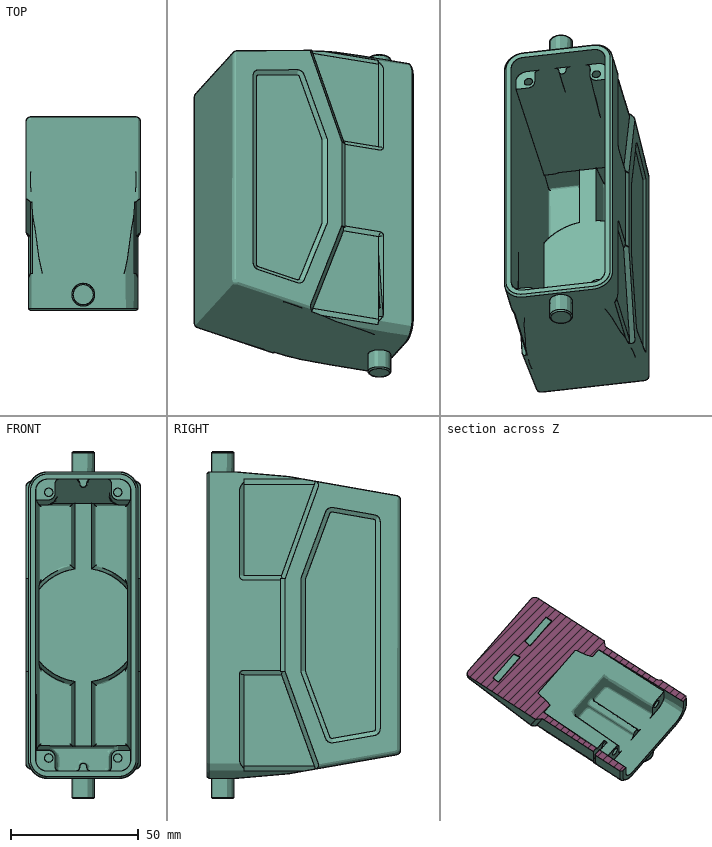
import cadquery as cq
import math


DEPTH = 76.0
BODY_HALF_WIDTH = 21.55
PANEL_HALF_WIDTH = 22.51
BODY_HALF_HEIGHT = 60.1
BODY_CORNER_RADIUS = 7.6
BODY_LENGTH = 54.4
BACK_EDGE_FILLET = 2.0
RIM_CHAMFER = 0.8

FIRST_KNEE = 11.3
SECOND_KNEE = 32.1
FIRST_SLOPE = math.tan(math.radians(5))
SECOND_SLOPE = math.tan(math.radians(10))

FLOOR_HALF_WIDTH = 20.7
BEVEL_WIDTH = 1.8
PANEL_FRONT = 30.7
PANEL_TIP_HALF_HEIGHT = 18.2
PANEL_EDGE_SLOPE = 0.36
POCKET_FRONT = 12.8
POCKET_INNER_HEIGHT = 17.7
LIP_START = 55.2
LIP_RISE = 2.0
LIP_DROP = 0.8
SLIT_START = 27.2
SLIT_END = 54.1
SLIT_WIDTH = 1.6
RECESS_DEPTH = 1.0
RECESS_BACK = 68.0
RECESS_FRONT = 36.9
RECESS_KNEE = 47.3
RECESS_CORNER_RADIUS = 2.7
RECESS_BORDER = 9.1

WALL = 2.9
FLOOR_DEPTH = 63.5
PAD_FLOOR_DEPTH = 72.8
SIDE_DRAFT = math.tan(math.radians(1.2))
PAD_DRAFT = 9.0
DISC_RADIUS = 22.3
BAR_HALF_WIDTH = 3.3
PAD_END = 48.4
PAD_FILLET = 0.7
LEDGE_FACE = 32.0
LEDGE_HEIGHT = 48.5
LEDGE_FILLET = 1.6

POST_FACE = 9.2
POST_X = 11.0
POST_Z = 49.1
POST_EDGE_RADIUS = 2.7
POST_DRAFT = 2.0
POST_SLOPE = math.tan(math.radians(POST_DRAFT))
SCREW_X = 13.53
SCREW_Z = 52.1
SCREW_RADIUS = 1.6
SCREW_DEPTH = 16.3
RIB_RADIUS = 1.4
RIB_Z = 55.5
RIB_DRAFT = 0.5

PIN_RADIUS = 4.5
PIN_Y = 6.3
PIN_TIP = 68.0
PIN_CHAMFER = 0.5

MARGIN = 6.8


def plane_at(y):
    """A sketch plane across the hood whose extrusions run towards the back."""
    return cq.Workplane(cq.Plane(origin=(0, y, 0), xDir=(1, 0, 0), normal=(0, 1, 0)))


def in_both_sides(solid):
    return solid.union(solid.mirror("YZ"))


def in_both_ends(solid):
    return solid.union(solid.mirror("XY"))


def end_height(y, inset=0.0):
    """Half height of the hood at depth y, less an inset."""
    drop = FIRST_SLOPE * min(max(y - FIRST_KNEE, 0), SECOND_KNEE - FIRST_KNEE)
    drop += SECOND_SLOPE * max(y - SECOND_KNEE, 0)
    return BODY_HALF_HEIGHT - inset - drop


def end_profile(half_width):
    """Solid bounded by the sloped ends."""
    upper = [(y, end_height(y)) for y in (0, FIRST_KNEE, SECOND_KNEE, DEPTH)]
    lower = [(y, -z) for y, z in reversed(upper)]
    return cq.Workplane("YZ").polyline(upper + lower).close().extrude(half_width, both=True)


def rounded_prism(half_width, half_height, radius, length):
    prism = plane_at(0).rect(2 * half_width, 2 * half_height).extrude(length)
    return prism.edges("|Y").fillet(radius)


def bevelled(outline, start, height, taper):
    """Outline in Y and Z, raised along +X from the given start."""
    sketch = cq.Workplane("YZ").workplane(offset=start).polyline(outline).close()
    return sketch.extrude(height, taper=taper)


def body():
    tube = rounded_prism(BODY_HALF_WIDTH, BODY_HALF_HEIGHT, BODY_CORNER_RADIUS, BODY_LENGTH)
    tube = tube.faces("<Y").chamfer(RIM_CHAMFER)
    return tube.intersect(end_profile(BODY_HALF_WIDTH + MARGIN))


def corner_pocket():
    """Shallow pocket beside the panel, open over the rounded corner, with a steeper lip there."""
    depth = BODY_HALF_WIDTH - FLOOR_HALF_WIDTH
    front = POCKET_FRONT + BEVEL_WIDTH
    inner = POCKET_INNER_HEIGHT + BEVEL_WIDTH
    outer = BODY_HALF_HEIGHT + MARGIN
    outline = [(front, inner), (BODY_LENGTH, inner), (BODY_LENGTH, outer), (front, outer)]
    flare = math.degrees(math.atan(BEVEL_WIDTH / depth))
    pocket = bevelled(outline, FLOOR_HALF_WIDTH, depth, -flare)

    lip = (
        plane_at(front)
        .moveTo(FLOOR_HALF_WIDTH, LIP_START)
        .lineTo(FLOOR_HALF_WIDTH - LIP_DROP, LIP_START + LIP_RISE)
        .lineTo(BODY_HALF_WIDTH, LIP_START + LIP_RISE)
        .lineTo(BODY_HALF_WIDTH, LIP_START)
        .close()
        .extrude(BODY_LENGTH - front)
    )
    return pocket.union(lip.mirror("XY"))


def rear_block():
    """Wide rear part whose side panels come to a blunt tip towards the opening."""
    block = end_profile(PANEL_HALF_WIDTH)
    block = block.faces("<X or >X or >Y").edges("not <Y").fillet(BACK_EDGE_FILLET)

    reach = BODY_HALF_HEIGHT + MARGIN
    shoulder = PANEL_FRONT + PANEL_EDGE_SLOPE * (reach - PANEL_TIP_HALF_HEIGHT)
    back = DEPTH + MARGIN
    upper = [(PANEL_FRONT, PANEL_TIP_HALF_HEIGHT), (shoulder, reach), (back, reach)]
    outline = upper + [(y, -z) for y, z in reversed(upper)]

    height = PANEL_HALF_WIDTH - FLOOR_HALF_WIDTH
    flare = math.degrees(math.atan(BEVEL_WIDTH / height))
    base = cq.Workplane("YZ").polyline(outline).close().offset2D(BEVEL_WIDTH, "intersection")
    core = base.extrude(FLOOR_HALF_WIDTH, both=True)
    base = cq.Workplane("YZ").workplane(offset=FLOOR_HALF_WIDTH).polyline(outline).close()
    panel = base.offset2D(BEVEL_WIDTH, "intersection").extrude(height, taper=flare)

    tip_front = PANEL_FRONT - BEVEL_WIDTH
    tip = (
        cq.Workplane("XY")
        .moveTo(FLOOR_HALF_WIDTH, tip_front)
        .lineTo(BODY_HALF_WIDTH, tip_front)
        .lineTo(PANEL_HALF_WIDTH, PANEL_FRONT)
        .lineTo(FLOOR_HALF_WIDTH, PANEL_FRONT)
        .close()
        .extrude(PANEL_TIP_HALF_HEIGHT, both=True)
    )
    return block.intersect(core.union(in_both_sides(panel.union(tip))))


def side_recess():
    """Shallow sloped-wall recess that follows the outline of the side panel."""
    tip = PANEL_TIP_HALF_HEIGHT
    upper = [
        (RECESS_FRONT, tip),
        (RECESS_KNEE, end_height(RECESS_KNEE, RECESS_BORDER)),
        (RECESS_BACK, end_height(RECESS_BACK, RECESS_BORDER)),
    ]
    outline = upper + [(y, -z) for y, z in reversed(upper)]
    rounded = cq.Sketch().polygon(outline + outline[:1])
    rounded = rounded.vertices("not <X").fillet(RECESS_CORNER_RADIUS)
    sketch = cq.Workplane("YZ").workplane(offset=PANEL_HALF_WIDTH).placeSketch(rounded)
    slant = math.degrees(math.atan(BEVEL_WIDTH / RECESS_DEPTH))
    return sketch.extrude(-RECESS_DEPTH, taper=slant)


def side_walls(depth):
    """Space between the drafted side walls of the cavity."""
    mouth = BODY_HALF_WIDTH - WALL
    inner = mouth - SIDE_DRAFT * depth
    outline = [(-mouth, 0), (mouth, 0), (inner, depth), (-inner, depth)]
    return cq.Workplane("XY").polyline(outline).close().extrude(BODY_HALF_HEIGHT, both=True)


def screw_post():
    """Corner post with a screw hole."""
    outer_x = BODY_HALF_WIDTH + MARGIN
    outer_z = BODY_HALF_HEIGHT + MARGIN
    width = outer_x - POST_X
    height = outer_z - POST_Z
    sketch = plane_at(POST_FACE).center((outer_x + POST_X) / 2, (outer_z + POST_Z) / 2)
    sketch = sketch.sketch().rect(width, height).vertices().fillet(POST_EDGE_RADIUS).finalize()
    post = sketch.extrude(DEPTH - POST_FACE, taper=-POST_DRAFT)
    screw_hole = plane_at(POST_FACE).center(SCREW_X, SCREW_Z).circle(SCREW_RADIUS).extrude(SCREW_DEPTH)
    return post.cut(screw_hole)


def guide_rib():
    """Round-topped rib on the end wall that widens towards the back."""
    outer_z = BODY_HALF_HEIGHT + MARGIN
    return (
        plane_at(POST_FACE)
        .moveTo(-RIB_RADIUS, outer_z)
        .lineTo(-RIB_RADIUS, RIB_Z)
        .threePointArc((0, RIB_Z - RIB_RADIUS), (RIB_RADIUS, RIB_Z))
        .lineTo(RIB_RADIUS, outer_z)
        .close()
        .extrude(DEPTH - POST_FACE, taper=-RIB_DRAFT)
    )


def floor_pad():
    """Deeper quarter of the floor, beside the raised central disc and bar."""
    outer = BODY_HALF_WIDTH
    bar_z = math.sqrt(DISC_RADIUS**2 - BAR_HALF_WIDTH**2)
    outer_z = math.sqrt(DISC_RADIUS**2 - outer**2)
    mid_angle = (math.atan2(bar_z, BAR_HALF_WIDTH) + math.atan2(outer_z, outer)) / 2
    mid = (DISC_RADIUS * math.cos(mid_angle), DISC_RADIUS * math.sin(mid_angle))
    pad = (
        plane_at(FLOOR_DEPTH)
        .moveTo(BAR_HALF_WIDTH, PAD_END)
        .lineTo(BAR_HALF_WIDTH, bar_z)
        .threePointArc(mid, (outer, outer_z))
        .lineTo(outer, PAD_END)
        .close()
        .extrude(PAD_FLOOR_DEPTH - FLOOR_DEPTH, taper=PAD_DRAFT)
    )
    pad = pad.intersect(side_walls(PAD_FLOOR_DEPTH))
    return pad.faces(">Y").edges().fillet(PAD_FILLET)


def end_walls():
    """Space between a sloped upper wall and a straight lower wall that stops at a deep ledge."""
    mouth = BODY_HALF_HEIGHT - WALL
    floor_top = mouth - SECOND_SLOPE * (FLOOR_DEPTH - POST_FACE)
    floor_bottom = LEDGE_HEIGHT - POST_SLOPE * (FLOOR_DEPTH - LEDGE_FACE)
    outline = [
        (0, mouth),
        (POST_FACE, mouth),
        (FLOOR_DEPTH, floor_top),
        (FLOOR_DEPTH, -floor_bottom),
        (LEDGE_FACE, -LEDGE_HEIGHT),
        (LEDGE_FACE, -mouth),
        (0, -mouth),
    ]
    sides = cq.Sketch().polygon(outline + outline[:1])
    profile = cq.Workplane("YZ").placeSketch(sides).extrude(BODY_HALF_WIDTH, both=True)
    ledge_edge = cq.selectors.NearestToPointSelector((0, LEDGE_FACE, -LEDGE_HEIGHT))
    return profile.edges(ledge_edge).fillet(LEDGE_FILLET)


def corners_between_posts(bottom, top):
    """Selects the inner corners behind the post faces whose midpoints lie between two heights."""
    reach = SCREW_X - SCREW_RADIUS
    front = POST_FACE + 1.4
    return cq.selectors.BoxSelector((-reach, front, bottom), (reach, FLOOR_DEPTH - 1.4, top))


def cavity():
    space = end_walls().intersect(side_walls(FLOOR_DEPTH))
    half_width = BODY_HALF_WIDTH - WALL
    half_height = BODY_HALF_HEIGHT - WALL
    space = space.intersect(
        rounded_prism(half_width, half_height, BODY_CORNER_RADIUS - WALL, FLOOR_DEPTH)
    )
    space = space.cut(in_both_sides(in_both_ends(screw_post())))
    space = space.cut(in_both_ends(guide_rib()))
    lower_corners = corners_between_posts(-BODY_HALF_HEIGHT, -SCREW_Z)
    space = space.edges(lower_corners).fillet(LEDGE_FILLET)
    upper_corners = corners_between_posts(SCREW_Z, BODY_HALF_HEIGHT)
    space = space.edges(upper_corners).fillet(LEDGE_FILLET)
    return space.union(in_both_sides(in_both_ends(floor_pad())))


def locking_pin():
    start = BODY_HALF_HEIGHT - WALL / 2
    pin = cq.Workplane("XY").workplane(offset=start).center(0, PIN_Y).circle(PIN_RADIUS)
    return pin.extrude(PIN_TIP - start).faces(">Z").chamfer(PIN_CHAMFER)


def pocket_slit():
    """Narrow wedge-shaped opening through the foot of the lower pocket on the -X side."""
    y_top = POCKET_FRONT + BEVEL_WIDTH
    outline = [(y_top, -SLIT_START), (y_top, -SLIT_END), (y_top - SLIT_WIDTH, -SLIT_END)]
    slit = cq.Workplane("YZ").workplane(offset=-BODY_HALF_WIDTH).polyline(outline).close()
    return slit.extrude(BODY_HALF_WIDTH - SCREW_X)


result = body().cut(in_both_sides(in_both_ends(corner_pocket())))
result = result.union(rear_block())
result = result.cut(in_both_sides(side_recess()))
result = result.cut(cavity())
result = result.cut(pocket_slit())
result = result.union(in_both_ends(locking_pin()))